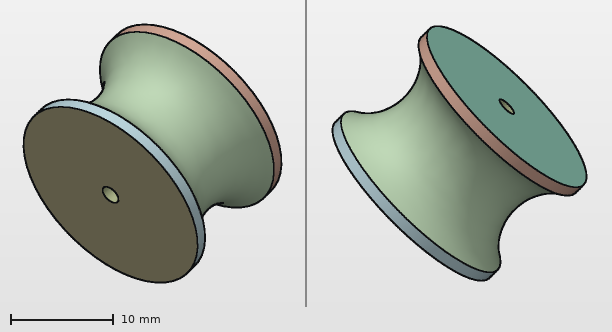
import cadquery as cq

outer_diameter = 21.3
roller_width = 13.4
rim_width = 1.21
neck_diameter = 15.3
bore_diameter = 1.94

outer_radius = outer_diameter / 2
neck_radius = neck_diameter / 2
bore_radius = bore_diameter / 2
half_width = roller_width / 2
groove_half_width = half_width - rim_width

half_section = (
    cq.Workplane("YZ")
    .moveTo(-half_width, bore_radius)
    .lineTo(-half_width, outer_radius)
    .lineTo(-groove_half_width, outer_radius)
    .threePointArc((0, neck_radius), (groove_half_width, outer_radius))
    .lineTo(half_width, outer_radius)
    .lineTo(half_width, bore_radius)
    .close()
)

result = half_section.revolve(360, (0, 0, 0), (1, 0, 0))